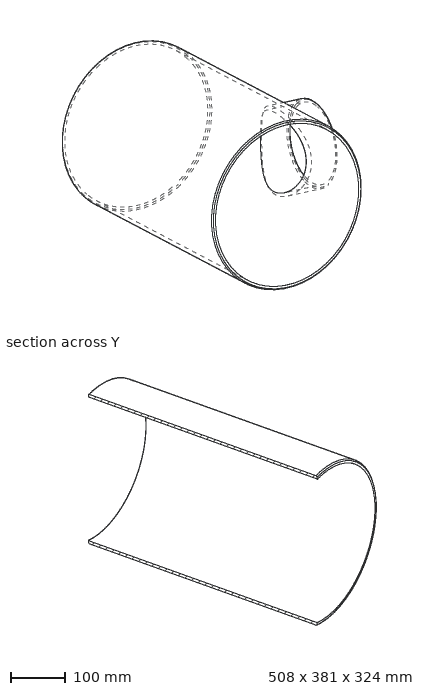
import cadquery as cq

run_length = 508.0
run_diameter = 324.0
run_wall = 7.0
branch_diameter = 168.0
branch_wall = 7.0
overall_depth = 381.0
bevel = 2.5

run_radius = run_diameter / 2
branch_radius = branch_diameter / 2
branch_reach = overall_depth - run_radius


def bevelled_bar(plane, length, radius, selector):
    """Solid bar with weld bevels on the outer edges of the selected end faces."""
    bar = cq.Workplane(plane).circle(radius).extrude(length)
    return bar.faces(selector).edges().chamfer(bevel)


def bore(plane, length, radius):
    return cq.Workplane(plane).circle(radius).extrude(length)


run_plane = cq.Plane(origin=(-run_length / 2, 0, 0), xDir=(0, 1, 0), normal=(1, 0, 0))
branch_plane = cq.Plane(origin=(0, 0, 0), xDir=(1, 0, 0), normal=(0, 1, 0))

run = bevelled_bar(run_plane, run_length, run_radius, "<X or >X")
branch = bevelled_bar(branch_plane, branch_reach, branch_radius, ">Y")
body = run.union(branch)

run_bore = bore(run_plane, run_length, run_radius - run_wall)
branch_bore = bore(branch_plane, branch_reach, branch_radius - branch_wall)
result = body.cut(run_bore).cut(branch_bore)